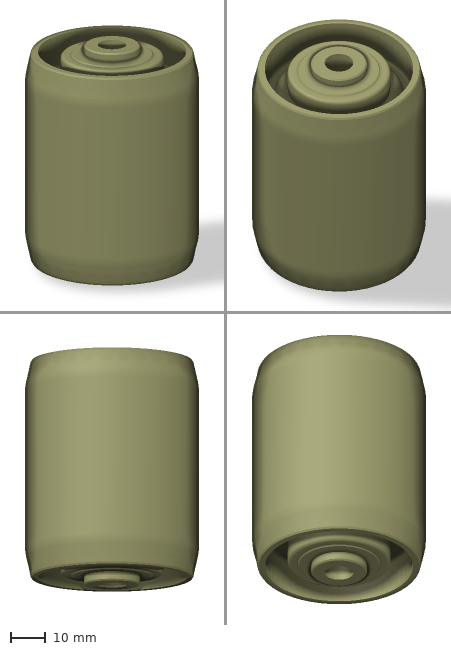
import cadquery as cq
import math

length = 67.5
outer_diameter = 50.0
outer_radius = outer_diameter / 2
bore_radius = 4.1
half_length = length / 2

spigot_radius = 8.0
spigot_height = 2.6
spigot_chamfer = 0.4

disc_radius = 11.9
disc_height = 0.35
collar_radius = 14.8
collar_fillet = 1.0

shelf_depth = 9.05
shelf_radius = 15.8
shoulder_fillet = 3.05
recess_radius = 21.3
recess_fillet = 0.9

rim_depth = 2.15
rim_radius = 23.15
rim_chamfer_width = 0.35
rim_chamfer_height = 0.55
taper_end_depth = 8.3
blend_end_depth = 10.65

disc_z = half_length - spigot_height
collar_z = disc_z - disc_height
shelf_z = half_length - shelf_depth
floor_z = shelf_z - shoulder_fillet
rim_z = half_length - rim_depth
taper_top_z = rim_z - rim_chamfer_height
taper_end_z = half_length - taper_end_depth
blend_end_z = half_length - blend_end_depth

taper_top_radius = rim_radius + rim_chamfer_width
blend_height = taper_end_z - blend_end_z
taper_height = taper_top_z - taper_end_z
taper_slope = (outer_radius - taper_top_radius) / (taper_height + blend_height / 2)
taper_end_radius = taper_top_radius + taper_height * taper_slope
cutter_margin = 0.7
diagonal = math.sqrt(0.5)


def quarter_arc(profile, center, radius, r_sign, z_sign, end):
    """Add a quarter arc bulging from its centre towards the given signs."""
    offset = radius * diagonal
    middle = (center[0] + r_sign * offset, center[1] + z_sign * offset)
    return profile.threePointArc(middle, end)


def make_end_cutter():
    """Ring of material turned away from the top end of the blank."""
    profile = (
        cq.Workplane("XZ")
        .moveTo(spigot_radius - spigot_chamfer, half_length)
        .lineTo(spigot_radius, half_length - spigot_chamfer)
        .lineTo(spigot_radius, disc_z)
        .lineTo(disc_radius - disc_height, disc_z)
        .lineTo(disc_radius, collar_z)
        .lineTo(collar_radius - collar_fillet, collar_z)
    )
    collar_center = (collar_radius - collar_fillet, collar_z - collar_fillet)
    collar_end = (collar_radius, collar_z - collar_fillet)
    profile = quarter_arc(profile, collar_center, collar_fillet, 1, 1, collar_end)

    profile = profile.lineTo(collar_radius, shelf_z).lineTo(shelf_radius, shelf_z)
    shoulder_end = (shelf_radius + shoulder_fillet, floor_z)
    profile = quarter_arc(profile, (shelf_radius, floor_z), shoulder_fillet, 1, 1, shoulder_end)

    profile = profile.lineTo(recess_radius - recess_fillet, floor_z)
    recess_center = (recess_radius - recess_fillet, floor_z + recess_fillet)
    recess_end = (recess_radius, floor_z + recess_fillet)
    profile = quarter_arc(profile, recess_center, recess_fillet, 1, -1, recess_end)

    profile = (
        profile.lineTo(recess_radius, rim_z)
        .lineTo(rim_radius, rim_z)
        .lineTo(taper_top_radius, taper_top_z)
        .lineTo(taper_end_radius, taper_end_z)
        .tangentArcPoint((outer_radius, blend_end_z), relative=False)
        .lineTo(outer_radius + cutter_margin, blend_end_z)
        .lineTo(outer_radius + cutter_margin, half_length + cutter_margin)
        .lineTo(spigot_radius - spigot_chamfer, half_length + cutter_margin)
        .close()
    )
    return profile.revolve(360, (0, 0), (0, 1))


blank = (
    cq.Workplane("XY", origin=(0, 0, -half_length))
    .circle(outer_radius)
    .circle(bore_radius)
    .extrude(length)
)
top_cutter = make_end_cutter()
bottom_cutter = top_cutter.mirror("XY")
result = blank.cut(top_cutter).cut(bottom_cutter)